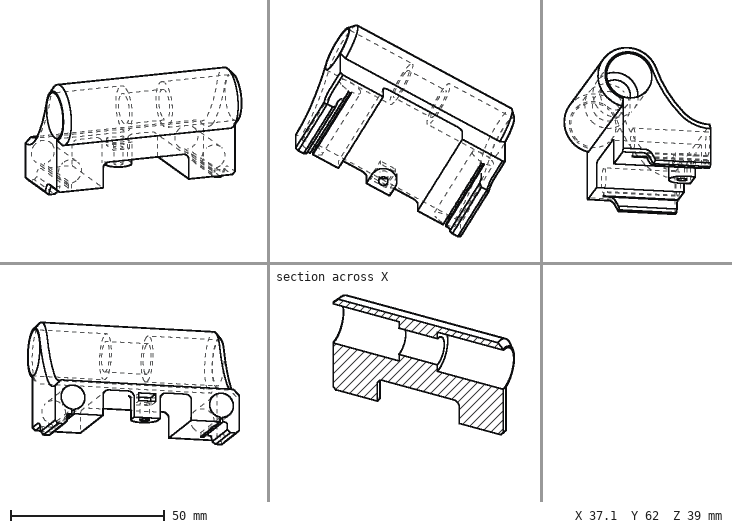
import cadquery as cq
import math

length = 62.0
height = 39.0
rear_x = 29.0
front_wall_height = 14.5

tube_radius = 10.0
tube_x = 27.05
tube_z = height - tube_radius
bore_diameter = 10.0
bearing_diameter = 15.0
bearing_depth = 24.0

lower_sweep_radius = 12.0
upper_sweep_radius = 40.0
top_chamfer = 2.0

foot_height = 3.5
foot_width = 4.0
foot_length = 18.85
foot_end_angle = 60.0
foot_end_fillet = 2.0
foot_edge = 1.0

cavity_half_width = 14.9
cavity_ceiling = 12.0
cavity_fillet = 2.0
post_radius = 4.4
post_centre_x = 3.5

nut_width = 5.7
nut_floor = 9.05
nut_height = 2.55
nut_depth = 6.3
screw_diameter = 3.0

rod_diameter = 8.0
rod_inset = 6.0
rod_y = length / 2 - rod_inset
rod_z = 9.0
rod_depth = 24.8
slit_width = 1.0

margin = 3.1


def point_from(centre, radius, angle):
    return (centre[0] + radius * math.cos(angle), centre[1] + radius * math.sin(angle))


def direction(start, end):
    return math.atan2(end[1] - start[1], end[0] - start[0])


def make_body():
    """Side outline in X and Z, extruded along Y, with chamfered ends."""
    tube_centre = (tube_x, tube_z)
    lower_centre = (0, front_wall_height + lower_sweep_radius)

    to_tube = upper_sweep_radius + tube_radius
    to_lower = upper_sweep_radius - lower_sweep_radius
    spacing = math.dist(tube_centre, lower_centre)
    corner = math.acos((to_tube**2 + spacing**2 - to_lower**2) / (2 * to_tube * spacing))
    upper_angle = direction(tube_centre, lower_centre) - corner
    upper_centre = point_from(tube_centre, to_tube, upper_angle)

    lower_end_angle = direction(upper_centre, lower_centre)
    tube_start_angle = direction(upper_centre, tube_centre)
    lower_mid = point_from(lower_centre, lower_sweep_radius, (lower_end_angle - math.pi / 2) / 2)
    lower_end = point_from(lower_centre, lower_sweep_radius, lower_end_angle)
    upper_mid = point_from(upper_centre, upper_sweep_radius, (lower_end_angle + tube_start_angle) / 2)
    tube_start = point_from(tube_centre, tube_radius, direction(tube_centre, upper_centre))
    tube_mid = point_from(tube_centre, tube_radius, math.pi / 4)
    tube_end_z = tube_z - math.sqrt(tube_radius**2 - (rear_x - tube_x)**2)

    foot_top_x = foot_length + foot_height / math.tan(math.radians(foot_end_angle))
    body = (
        cq.Workplane("XZ")
        .moveTo(0, front_wall_height)
        .threePointArc(lower_mid, lower_end)
        .threePointArc(upper_mid, tube_start)
        .threePointArc(tube_mid, (rear_x, tube_end_z))
        .lineTo(rear_x, foot_height)
        .lineTo(foot_top_x, foot_height)
        .lineTo(foot_length, 0)
        .lineTo(0, 0)
        .close()
        .extrude(length / 2, both=True)
    )
    foot_corner = cq.selectors.NearestToPointSelector((foot_top_x, 0, foot_height))
    body = body.edges("|Y").edges(foot_corner).fillet(foot_end_fillet)

    sweep_floor = front_wall_height - margin
    above = cq.selectors.BoxSelector(
        (-margin, -length, sweep_floor), (2 * rear_x, length, 2 * height), boundingbox=True
    )
    below = cq.selectors.BoxSelector(
        (-margin, -length, -margin), (2 * rear_x, length, foot_height + margin), boundingbox=True
    )
    body = body.faces("<Y or >Y").edges("%CIRCLE").edges(above).chamfer(top_chamfer)
    return body.faces("<Y or >Y").edges(below).chamfer(foot_edge)


def make_bore():
    """Through bore with a bearing seat at each end."""
    axis = cq.Workplane("XZ").center(tube_x, tube_z)
    bore = axis.circle(bore_diameter / 2).extrude(length, both=True)
    seats = axis.circle(bearing_diameter / 2).extrude(length, both=True)
    core_half_length = length / 2 - bearing_depth
    core = axis.circle(tube_radius).extrude(core_half_length, both=True)
    return bore.union(seats.cut(core))


def make_foot_gap():
    """Space between the feet, rounded at the top and flared at the bottom."""
    half = length / 2 - foot_width
    gap = (
        cq.Workplane("YZ")
        .moveTo(-half - foot_edge, 0)
        .lineTo(-half, foot_edge)
        .lineTo(-half, foot_height)
        .lineTo(half, foot_height)
        .lineTo(half, foot_edge)
        .lineTo(half + foot_edge, 0)
        .close()
        .extrude(rear_x)
    )
    return gap.edges("|X and >Z").fillet(foot_edge)


def make_cavity():
    """Underside cavity running from front to rear around the post."""
    cavity = (
        cq.Workplane("XY")
        .rect(2 * (rear_x + margin), 2 * cavity_half_width)
        .extrude(cavity_ceiling)
    )
    post_start = -rear_x - margin
    post = (
        cq.Workplane("XY")
        .moveTo(post_start, -post_radius)
        .lineTo(post_centre_x, -post_radius)
        .threePointArc((post_centre_x + post_radius, 0), (post_centre_x, post_radius))
        .lineTo(post_start, post_radius)
        .close()
        .extrude(cavity_ceiling)
    )
    return cavity.cut(post).faces(">Z").edges("|X or %CIRCLE").fillet(cavity_fillet)


def make_nut_trap():
    """Slot for a nut from the front and a screw hole up into it from below."""
    nut = (
        cq.Workplane("XY", origin=(0, 0, nut_floor))
        .rect(2 * nut_depth, nut_width)
        .extrude(nut_height)
    )
    screw = cq.Workplane("XY").center(post_centre_x, 0).circle(screw_diameter / 2)
    return nut.union(screw.extrude(nut_floor + nut_height))


def make_rod_hole(y):
    """Blind hole from the front, opened downwards by a narrow slit."""
    hole = cq.Workplane("YZ").center(y, rod_z).circle(rod_diameter / 2).extrude(rod_depth)
    slit = cq.Workplane("XY").center(rod_depth / 2, y).rect(rod_depth, slit_width).extrude(rod_z)
    return hole.union(slit)


result = (
    make_body()
    .cut(make_bore())
    .cut(make_foot_gap())
    .cut(make_cavity())
    .cut(make_nut_trap())
)
for side in (-1, 1):
    result = result.cut(make_rod_hole(side * rod_y))